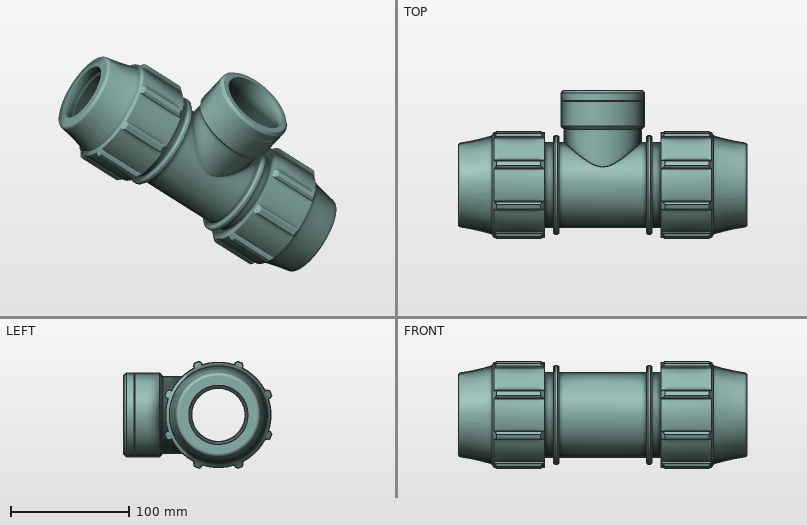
import cadquery as cq

run_length = 244.0
tube_diameter = 72.0
run_bore_diameter = 45.0
socket_diameter = 50.0
socket_depth = 7.7
socket_taper_length = 1.0

flange_diameter = 83.52
flange_width = 4.3
flange_center = 39.3
flange_chamfer = 1.0

nut_inner_end = 49.0
nut_shoulder = 91.8
nut_cone_end = 93.6
nut_diameter = 89.0
tip_diameter = 70.4
barrel_diameter = 82.8
barrel_sag = 0.6
tip_fillet = 2.6

rib_count = 8
rib_height_diameter = 96.0
rib_width = 7.3
rib_top_width = 4.28
rib_bevel_height = 2.0
rib_root_depth = 4.0

branch_reach = 80.0
collar_diameter = 70.82
collar_start = 49.7
collar_chamfer = 2.2
neck_diameter = 65.15
neck_cone_length = 2.8
groove_position = 70.8
groove_width = 0.8
groove_depth = 0.3
thread_bore_diameter = 56.66

run_end = run_length / 2
nut_radius = nut_diameter / 2
barrel_radius = barrel_diameter / 2
front_slope = (nut_shoulder - nut_cone_end) / (nut_radius - barrel_radius)


def rod(plane, start, end, diameter):
    """Cylinder along the plane normal between two stations."""
    return cq.Workplane(plane).workplane(offset=start).circle(diameter / 2).extrude(end - start)


def revolve_about_x(profile):
    """Close a half profile lying in XY and turn it about the X axis."""
    return profile.close().revolve(360, (0, 0, 0), (1, 0, 0))


def make_flange():
    """Ring on the tube with both rim edges chamfered."""
    ring = rod("YZ", flange_center - flange_width / 2, flange_center + flange_width / 2, flange_diameter)
    return ring.edges().chamfer(flange_chamfer)


def make_barrel():
    """Flared nose of the nut, slightly hollow in profile, with a rounded tip."""
    tip_radius = tip_diameter / 2
    middle = ((run_end + nut_cone_end) / 2, (tip_radius + barrel_radius) / 2 - barrel_sag)
    profile = (
        cq.Workplane("XY")
        .moveTo(nut_inner_end, 0)
        .lineTo(nut_inner_end, barrel_radius)
        .lineTo(nut_cone_end, barrel_radius)
        .threePointArc(middle, (run_end, tip_radius))
        .lineTo(run_end, 0)
    )
    return revolve_about_x(profile).faces(">X").edges().fillet(tip_fillet)


def make_grip():
    """Nut ring with its ribs, trimmed by the conical front and the sloped rib ends."""
    rib_radius = rib_height_diameter / 2
    rib_rise = rib_radius - nut_radius
    rib_length = nut_cone_end - nut_inner_end
    half_width = rib_width / 2
    half_top = rib_top_width / 2
    root_radius = nut_radius - rib_root_depth
    bevel_radius = rib_radius - rib_bevel_height
    rib = (
        cq.Workplane("YZ", origin=(nut_inner_end, 0, 0))
        .polyline([
            (root_radius, -half_width),
            (bevel_radius, -half_width),
            (rib_radius, -half_top),
            (rib_radius, half_top),
            (bevel_radius, half_width),
            (root_radius, half_width),
        ])
        .close()
        .extrude(rib_length)
    )
    grip = rod("YZ", nut_inner_end, nut_cone_end, nut_diameter)
    pitch = 360 / rib_count
    for i in range(rib_count):
        grip = grip.union(rib.rotate((0, 0, 0), (1, 0, 0), (i + 0.5) * pitch))
    trim_radius = rib_radius + rib_rise
    envelope = (
        cq.Workplane("XY")
        .moveTo(nut_inner_end, 0)
        .lineTo(nut_inner_end, nut_radius)
        .lineTo(nut_inner_end + trim_radius - nut_radius, trim_radius)
        .lineTo(nut_cone_end + front_slope * (trim_radius - barrel_radius), trim_radius)
        .lineTo(nut_cone_end, barrel_radius)
        .lineTo(nut_cone_end, 0)
    )
    return grip.intersect(revolve_about_x(envelope))


def make_branch():
    """Neck and grooved collar, revolved about the Y axis."""
    neck_radius = neck_diameter / 2
    collar_radius = collar_diameter / 2
    groove_radius = collar_radius - groove_depth
    profile = (
        cq.Workplane("XY")
        .polyline([
            (0, 0),
            (neck_radius, 0),
            (neck_radius, collar_start - neck_cone_length),
            (collar_radius, collar_start),
            (collar_radius, groove_position - groove_width / 2),
            (groove_radius, groove_position - groove_width / 2),
            (groove_radius, groove_position + groove_width / 2),
            (collar_radius, groove_position + groove_width / 2),
            (collar_radius, branch_reach - collar_chamfer),
            (collar_radius - collar_chamfer, branch_reach),
            (0, branch_reach),
        ])
        .close()
    )
    return profile.revolve(360, (0, 0, 0), (0, 1, 0))


def make_body():
    """Tube with mirrored end parts and the branch, before boring."""
    end_parts = make_flange().union(make_barrel()).union(make_grip())
    body = rod("YZ", -nut_shoulder, nut_shoulder, tube_diameter)
    return body.union(end_parts).union(end_parts.mirror("YZ")).union(make_branch())


def make_socket():
    """Pipe entry that tapers down to the run bore at its inner end."""
    taper_start = run_end - socket_depth
    taper_end = taper_start - socket_taper_length
    profile = cq.Workplane("XY").polyline([
        (taper_end, 0),
        (taper_end, run_bore_diameter / 2),
        (taper_start, socket_diameter / 2),
        (run_end, socket_diameter / 2),
        (run_end, 0),
    ])
    return revolve_about_x(profile)


def cut_bores(body):
    """Bore the run from end to end and the branch from its mouth to the run."""
    socket = make_socket()
    branch_bore = rod("XZ", -branch_reach, 0, run_bore_diameter)
    thread_bore = rod("XZ", -branch_reach, -collar_start, thread_bore_diameter)
    body = body.cut(rod("YZ", -run_end, run_end, run_bore_diameter))
    body = body.cut(socket).cut(socket.mirror("YZ"))
    return body.cut(branch_bore).cut(thread_bore)


result = cut_bores(make_body())